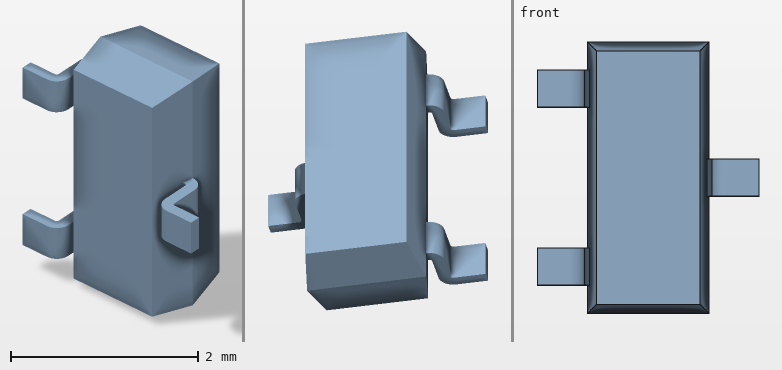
import cadquery as cq
import math

HOUSING_LENGTH = 2.9
HOUSING_WIDTH = 1.3
HALF_DEPTH = 0.55
DRAFT_ANGLE = 10.0

LEAD_SPAN = 2.37
LEAD_DROP = 0.65
LEAD_THICKNESS = 0.13
LEAD_WIDTH = 0.4
LEG_OUTER_X = 0.812
INNER_BEND_RADIUS = 0.03
OUTER_BEND_RADIUS = INNER_BEND_RADIUS + LEAD_THICKNESS
LEAD_PITCH = 1.9


def make_housing():
    """Two drafted halves, widest where they join."""
    halves = [
        cq.Workplane("XZ")
        .rect(HOUSING_WIDTH, HOUSING_LENGTH)
        .extrude(direction * HALF_DEPTH, taper=DRAFT_ANGLE)
        for direction in (1, -1)
    ]
    return halves[0].union(halves[1])


def make_lead():
    """Gull-wing lead on the +X side, centred on Z = 0, its root flush with the drafted wall."""
    root_top_x = HOUSING_WIDTH / 2
    root_bottom_x = root_top_x - LEAD_THICKNESS * math.tan(math.radians(DRAFT_ANGLE))
    tip_x = LEAD_SPAN / 2
    leg_inner_x = LEG_OUTER_X - LEAD_THICKNESS
    upper_bend_x = LEG_OUTER_X - OUTER_BEND_RADIUS
    upper_bend_y = -OUTER_BEND_RADIUS
    foot_bottom_y = -LEAD_DROP
    foot_top_y = foot_bottom_y + LEAD_THICKNESS
    lower_bend_x = leg_inner_x + OUTER_BEND_RADIUS
    lower_bend_y = foot_bottom_y + OUTER_BEND_RADIUS

    return (
        cq.Workplane("XY")
        .moveTo(root_top_x, 0)
        .lineTo(upper_bend_x, 0)
        .tangentArcPoint((LEG_OUTER_X, upper_bend_y), relative=False)
        .lineTo(LEG_OUTER_X, lower_bend_y)
        .tangentArcPoint((lower_bend_x, foot_top_y), relative=False)
        .lineTo(tip_x, foot_top_y)
        .lineTo(tip_x, foot_bottom_y)
        .lineTo(lower_bend_x, foot_bottom_y)
        .tangentArcPoint((leg_inner_x, lower_bend_y), relative=False)
        .lineTo(leg_inner_x, upper_bend_y)
        .tangentArcPoint((upper_bend_x, -LEAD_THICKNESS), relative=False)
        .lineTo(root_bottom_x, -LEAD_THICKNESS)
        .close()
        .extrude(LEAD_WIDTH / 2, both=True)
    )


housing = make_housing()

lead_placements = [(0, 0), (180, -LEAD_PITCH / 2), (180, LEAD_PITCH / 2)]
leads = []
for turn, height in lead_placements:
    lead = make_lead().rotate((0, 0, 0), (0, 1, 0), turn).translate((0, 0, height))
    leads.append(lead.val())

result = cq.Compound.makeCompound([housing.val(), *leads])